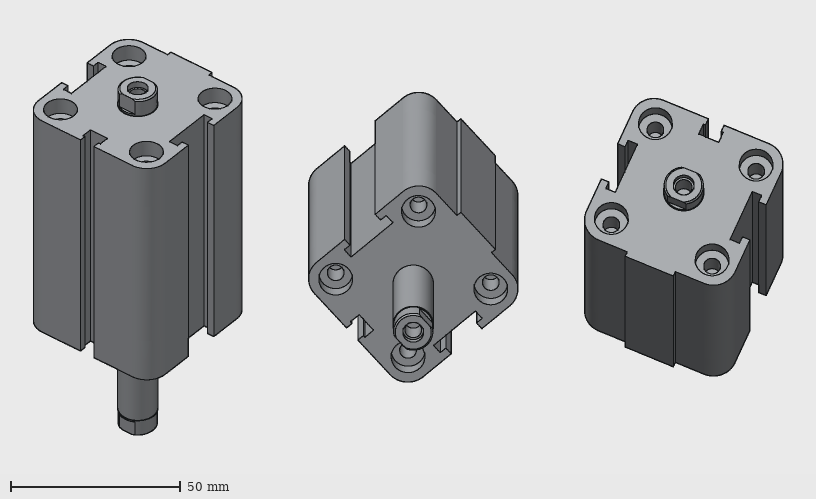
import cadquery as cq

ROD_LENGTH = 126.5
ROD_DIAMETER = 12.0
END_DIAMETER = 11.6
END_LENGTH = 6.0
END_CHAMFER = 0.5
FLAT_WIDTH = 10.0
FLAT_LENGTH = 5.3
TAP_DIAMETER = 4.9
TAP_DEPTH = 10.1
RELIEF_DIAMETER = 6.2
RELIEF_DEPTH = 2.2

HOUSING_WIDTH = 48.0
HOUSING_HEIGHT = 79.6
CAP_HEIGHT = 14.5
CORNER_RADIUS = 7.0

RIB_WIDTH = 15.5
RIB_HEIGHT = 1.5

SIDE_MOUTH_WIDTH = 12.0
SIDE_UNDERCUT_WIDTH = 16.5
SIDE_LIP = 2.4
SIDE_DEPTH = 5.5
FRONT_MOUTH_WIDTH = 5
FRONT_UNDERCUT_WIDTH = 6.5
FRONT_LIP = 2.2
FRONT_DEPTH = 5.6

HOLE_SPACING = 32.5
HOLE_DIAMETER = 4.9
COUNTERBORE_DIAMETER = 10.0
COUNTERBORE_DEPTH = 5.5

HALF_WIDTH = HOUSING_WIDTH / 2
HOUSING_TOP = ROD_LENGTH - END_LENGTH
HOUSING_BOTTOM = HOUSING_TOP - HOUSING_HEIGHT
TUBE_HEIGHT = HOUSING_HEIGHT - 2 * CAP_HEIGHT


def t_slot(mouth_width, undercut_width, lip, depth, height):
    """T-slot cutter standing on z = 0 that opens on the -Y face."""
    mouth = cq.Workplane("XY").center(0, depth / 2 - HALF_WIDTH).rect(mouth_width, depth).extrude(height)
    undercut = (
        cq.Workplane("XY")
        .center(0, (lip + depth) / 2 - HALF_WIDTH)
        .rect(undercut_width, depth - lip)
        .extrude(height)
    )
    return mouth.union(undercut)


def housing_section(bottom, height):
    """Length of the housing profile, with rib, T-slots and rod bore, starting at z = bottom."""
    section = cq.Workplane("XY").rect(HOUSING_WIDTH, HOUSING_WIDTH).extrude(height)
    section = section.edges("|Z").fillet(CORNER_RADIUS)

    rib_reach = HALF_WIDTH + RIB_HEIGHT
    rib = cq.Workplane("XY").center(0, rib_reach / 2).rect(RIB_WIDTH, rib_reach).extrude(height)
    section = section.union(rib)

    section = section.cut(t_slot(FRONT_MOUTH_WIDTH, FRONT_UNDERCUT_WIDTH, FRONT_LIP, FRONT_DEPTH, height))
    side_slot = t_slot(SIDE_MOUTH_WIDTH, SIDE_UNDERCUT_WIDTH, SIDE_LIP, SIDE_DEPTH, height)
    for angle in (-90, 90):
        section = section.cut(side_slot.rotate((0, 0, 0), (0, 0, 1), angle))

    bore = cq.Workplane("XY").circle(ROD_DIAMETER / 2).extrude(height)
    return section.cut(bore).translate((0, 0, bottom))


def drill_cap(cap, outer_face):
    """Counterbored holes at the four corners, drilled through the cap from its outer face."""
    return (
        cap.faces(outer_face)
        .workplane(origin=(0, 0, 0))
        .rect(HOLE_SPACING, HOLE_SPACING, forConstruction=True)
        .vertices()
        .cboreHole(HOLE_DIAMETER, COUNTERBORE_DIAMETER, COUNTERBORE_DEPTH)
    )


def make_housing():
    lower_cap = drill_cap(housing_section(HOUSING_BOTTOM, CAP_HEIGHT), "<Z")
    tube = housing_section(HOUSING_BOTTOM + CAP_HEIGHT, TUBE_HEIGHT)
    upper_cap = drill_cap(housing_section(HOUSING_TOP - CAP_HEIGHT, CAP_HEIGHT), ">Z")

    return lower_cap.union(tube, clean=False).union(upper_cap, clean=False)


def wrench_flats(bottom):
    """Cutter that leaves flats on the -Y and +Y sides of a rod end."""
    return (
        cq.Workplane("XY", origin=(0, 0, bottom))
        .rect(2 * ROD_DIAMETER, 2 * ROD_DIAMETER)
        .rect(2 * ROD_DIAMETER, FLAT_WIDTH)
        .extrude(FLAT_LENGTH)
    )


def make_rod():
    core = cq.Workplane("XY").circle(END_DIAMETER / 2).extrude(ROD_LENGTH)
    core = core.faces("<Z or >Z").chamfer(END_CHAMFER)
    shank = (
        cq.Workplane("XY", origin=(0, 0, END_LENGTH))
        .circle(ROD_DIAMETER / 2)
        .extrude(ROD_LENGTH - 2 * END_LENGTH)
    )
    rod = core.union(shank)

    for bottom in (0, ROD_LENGTH - FLAT_LENGTH):
        rod = rod.cut(wrench_flats(bottom))

    for face in ("<Z", ">Z"):
        rod = (
            rod.faces(face)
            .workplane(origin=(0, 0, 0))
            .cboreHole(TAP_DIAMETER, RELIEF_DIAMETER, RELIEF_DEPTH, TAP_DEPTH)
        )
    return rod


housing = make_housing()
rod = make_rod()

result = cq.Compound.makeCompound([housing.solids().val(), rod.solids().val()])